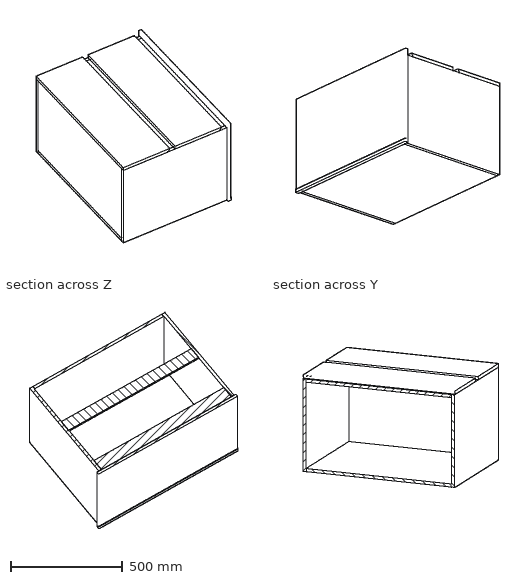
import cadquery as cq

TOP_WIDTH = 760.0
TOP_HEIGHT = 460.0
TOP_THICKNESS = 16.0
TOP_ROUNDING = 3.0
LIP_DEPTH = 3.0
LIP_HEIGHT = 16.0

BOARD = 17.0
SIDE_OVERHANG = 11.0
FRONT_OVERHANG = 10.0
CABINET_DEPTH = 550.0
CABINET_WIDTH = TOP_WIDTH - 2 * SIDE_OVERHANG
CABINET_HEIGHT = TOP_HEIGHT - FRONT_OVERHANG - BOARD
INNER_WIDTH = CABINET_WIDTH - 2 * BOARD

DRAWER_COUNT = 2
FINGER_GAP = 28.0
GRIP_BEVEL = 10.0
DRAWER_PITCH = CABINET_DEPTH / DRAWER_COUNT
DRAWER_LENGTH = DRAWER_PITCH - FINGER_GAP
RAIL_WIDTH = 60.0


def box(x_size, y_size, z_size, x_min, y_min, z_min):
    """Box placed by its lowest corner."""
    return cq.Workplane("XY").box(x_size, y_size, z_size, centered=False).translate((x_min, y_min, z_min))


def make_countertop():
    """Slab with rounded top and side edges, plus the lip with rounded upright corners."""
    slab = box(TOP_WIDTH, TOP_THICKNESS, TOP_HEIGHT, -TOP_WIDTH / 2, CABINET_DEPTH, 0)
    slab = slab.edges("|Z or >Z").fillet(TOP_ROUNDING)
    lip_reach = LIP_DEPTH + TOP_THICKNESS / 2
    lip_start = CABINET_DEPTH + TOP_THICKNESS / 2
    lip = box(TOP_WIDTH, lip_reach, LIP_HEIGHT, -TOP_WIDTH / 2, lip_start, 0)
    lip = lip.edges("|Z and >Y").fillet(TOP_ROUNDING)
    return slab.union(lip)


def make_side_panel(x_min):
    """Full-depth upright side of the cabinet."""
    return box(BOARD, CABINET_DEPTH, CABINET_HEIGHT, x_min, 0, 0)


def make_back_panel():
    """Board on the ground between the sides."""
    return box(INNER_WIDTH, CABINET_DEPTH, BOARD, -INNER_WIDTH / 2, 0, 0)


def make_bottom_panel():
    """Board between the sides that stands on the back panel, at the end opposite the countertop."""
    return box(INNER_WIDTH, BOARD, CABINET_HEIGHT - BOARD, -INNER_WIDTH / 2, 0, BOARD)


def make_rail(y_min):
    """Flat rail between the sides, flush with their front edges."""
    return box(INNER_WIDTH, RAIL_WIDTH, BOARD, -INNER_WIDTH / 2, y_min, CABINET_HEIGHT - BOARD)


def make_drawer_front(y_min):
    """Board over the full cabinet width whose +Y edge is undercut as a finger grip."""
    y_max = y_min + DRAWER_LENGTH
    profile = [
        (y_min, CABINET_HEIGHT),
        (y_max - GRIP_BEVEL, CABINET_HEIGHT),
        (y_max, CABINET_HEIGHT + BOARD),
        (y_min, CABINET_HEIGHT + BOARD),
    ]
    return cq.Workplane("YZ").polyline(profile).close().extrude(CABINET_WIDTH / 2, both=True)


countertop = make_countertop()
back_panel = make_back_panel()
bottom_panel = make_bottom_panel()
side_panels = [make_side_panel(x_min) for x_min in (-CABINET_WIDTH / 2, INNER_WIDTH / 2)]
drawer_fronts = [make_drawer_front(i * DRAWER_PITCH) for i in range(DRAWER_COUNT)]

middle_rail_start = DRAWER_PITCH - (FINGER_GAP + RAIL_WIDTH) / 2
rails = [make_rail(y_min) for y_min in (middle_rail_start, CABINET_DEPTH - RAIL_WIDTH)]

result = cq.Compound.makeCompound([
    countertop.val(),
    back_panel.val(),
    bottom_panel.val(),
    *[panel.val() for panel in side_panels],
    *[rail.val() for rail in rails],
    *[front.val() for front in drawer_fronts],
])